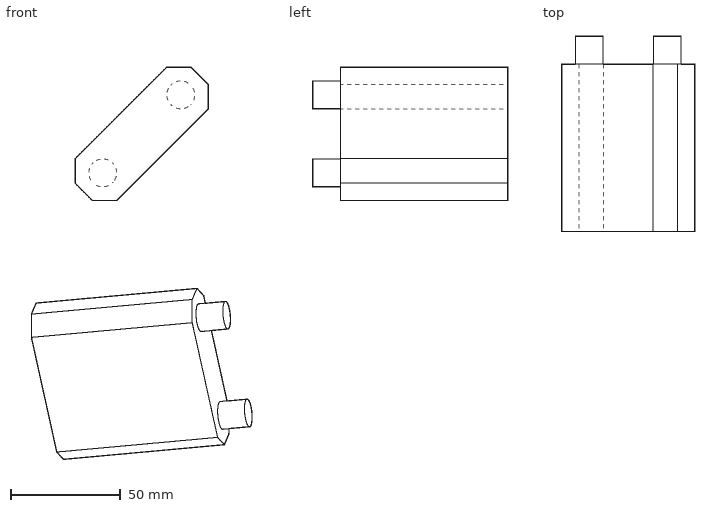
import cadquery as cq
import math

outer_width = 60.68
body_length = 76.2
end_face = 11.15

pin_diameter = 12.7
pin_length = 12.7
pin_offset = 17.75

half_width = outer_width / 2
corner_cut = end_face / math.sqrt(2)
near_corner = half_width - corner_cut
far_corner = near_corner - end_face


def make_body():
    """Slab tilted 45 degrees about Y, each end shaped like half an octagon."""
    upper_end = [
        (far_corner, half_width),
        (near_corner, half_width),
        (half_width, near_corner),
        (half_width, far_corner),
    ]
    lower_end = [(-x, -z) for x, z in upper_end]
    profile = cq.Workplane("XZ").polyline(upper_end + lower_end).close()
    return profile.extrude(-body_length)


def make_pins():
    """Two round pins along the long diagonal of the back face."""
    centers = [(-pin_offset, -pin_offset), (pin_offset, pin_offset)]
    back_face = cq.Workplane("XZ", origin=(0, body_length, 0))
    return back_face.pushPoints(centers).circle(pin_diameter / 2).extrude(-pin_length)


result = make_body().union(make_pins())